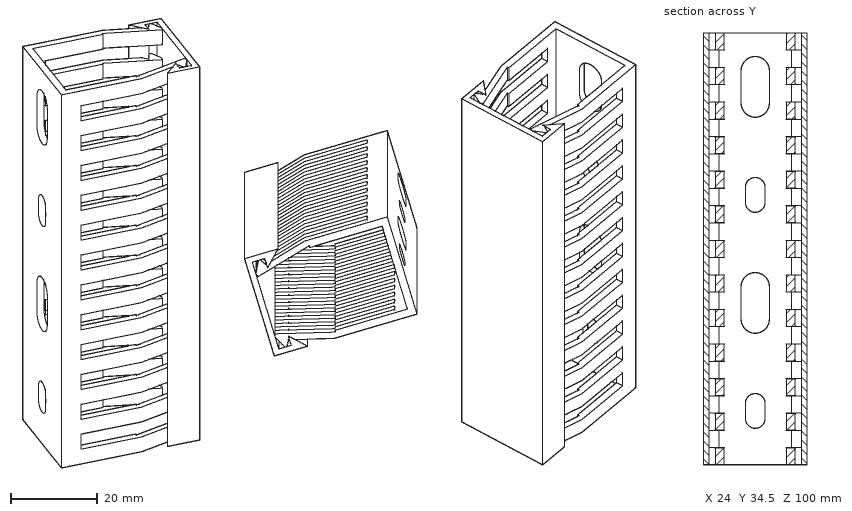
import cadquery as cq
import math

length = 100.0
width = 24.0
depth = 34.5

wall = 1.8
ledge_height = 19.3
knee_height = 20.0
finger_thickness = 1.5
finger_angle = math.radians(15)

neck_height = 30.2
barb_low = 31.0
barb_high = 31.5
peak_x = 7.8
finger_end = 32.8

slit_count = 12
slit_width = 4.0
finger_width = 4.0
slit_floor = 4.9

slot_pitch = 50.0
large_slot_length = 14.0
large_slot_width = 6.5
large_slot_z = 37.5
small_slot_length = 8.0
small_slot_width = 4.5
small_slot_z = 12.5

cover_thickness = 1.5
cover_side = 1.3
cover_drop = 8.1
lip_reach = 3.6

half_width = width / 2
cover_underside = depth - cover_thickness
cover_inner = half_width - cover_side
slit_pitch = finger_width + slit_width


def mirrored_profile(right_half):
    """Extrude a symmetric outline along Z from the points of its right half."""
    left_half = [(-x, y) for x, y in reversed(right_half)]
    return cq.Workplane("XY").polyline(right_half + left_half).close().extrude(length)


def finger_outer(y):
    """X of the outer face of the right finger at height y."""
    return half_width - (y - knee_height) * math.tan(finger_angle)


def finger_inner(y):
    """X of the inner face of the right finger at height y."""
    return finger_outer(y) - finger_thickness / math.cos(finger_angle)


def make_channel():
    return mirrored_profile([
        (half_width, 0),
        (half_width, knee_height),
        (finger_outer(neck_height), neck_height),
        (cover_inner, barb_low),
        (cover_inner, barb_high),
        (peak_x, cover_underside),
        (finger_inner(finger_end), finger_end),
        (finger_inner(ledge_height), ledge_height),
        (half_width - wall, ledge_height),
        (half_width - wall, wall),
    ])


def cut_slits(body):
    """Split both side walls into fingers."""
    slit = cq.Workplane("XY").box(width, depth, slit_width, centered=(True, False, False))
    for i in range(slit_count):
        slit_z = finger_width + i * slit_pitch
        body = body.cut(slit.translate((0, slit_floor, slit_z)))
    return body


def cut_slots(body, slot_length, slot_width, first_z):
    """Cut two equal upright slots through the base, one slot pitch apart."""
    slots = (
        cq.Workplane("XZ")
        .pushPoints([(0, first_z), (0, first_z + slot_pitch)])
        .slot2D(slot_length, slot_width, angle=90)
        .extrude(-wall)
    )
    return body.cut(slots)


def make_cover():
    lip_tip = depth - cover_drop
    lip_top = lip_tip + lip_reach
    return mirrored_profile([
        (half_width, depth),
        (half_width, lip_tip),
        (half_width - lip_reach, lip_top),
        (cover_inner, lip_top),
        (cover_inner, cover_underside),
    ])


cover = make_cover()

body = make_channel()
body = cut_slits(body)
body = cut_slots(body, large_slot_length, large_slot_width, large_slot_z)
body = cut_slots(body, small_slot_length, small_slot_width, small_slot_z)
body = body.cut(cover)

result = cq.Compound.makeCompound([body.val(), cover.val()])